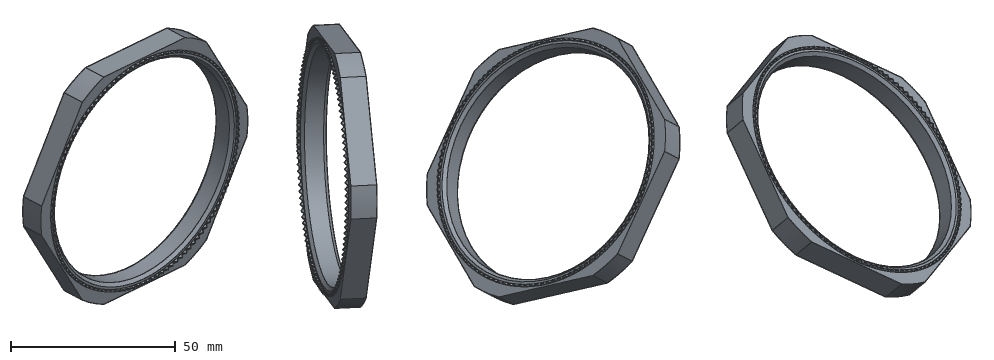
import cadquery as cq
import math

across_flats = 80.0
corner_diameter = 87.0
body_thickness = 8.0

bore_diameter = 73.6
chamfer_diameter = 75.7
chamfer_depth = (chamfer_diameter - bore_diameter) / 2

tooth_count = 120
tooth_height = 1.0
tooth_angle = 90.0
tooth_circle_diameter = 78.0
tooth_root_width = 0.8
tooth_tip_width = 0.2


def cylinder(diameter, length):
    """Solid cylinder on the X axis, starting at the plain face."""
    return cq.Workplane("YZ").circle(diameter / 2).extrude(length)


def make_body():
    """Hexagon with flats facing +Z and -Z and its corners turned round."""
    across_corners = across_flats / math.cos(math.pi / 6)
    hexagon = cq.Workplane("YZ").polygon(6, across_corners).extrude(body_thickness)
    return hexagon.intersect(cylinder(corner_diameter, body_thickness))


def make_chamfer_cone(start, direction):
    """Cone that widens the bore at one face and narrows into the body."""
    return cq.Solid.makeCone(
        chamfer_diameter / 2,
        bore_diameter / 2,
        chamfer_depth,
        cq.Vector(start, 0, 0),
        cq.Vector(direction, 0, 0),
    )


def make_bore():
    """Through bore together with the chamfer cones of both faces."""
    hole = cylinder(bore_diameter, body_thickness)
    plain_end = make_chamfer_cone(0, 1)
    toothed_end = make_chamfer_cone(body_thickness, -1)
    return hole.union(plain_end).union(toothed_end)


def make_tooth_ring():
    """Ring of trapezoidal section that bounds the teeth inside and outside."""
    middle = tooth_circle_diameter / 2
    half_root = tooth_root_width / 2
    half_tip = tooth_tip_width / 2
    tip = body_thickness + tooth_height
    return (
        cq.Workplane("XY")
        .polyline([
            (body_thickness, middle - half_root),
            (body_thickness, middle + half_root),
            (tip, middle + half_tip),
            (tip, middle - half_tip),
        ])
        .close()
        .revolve(360, (0, 0, 0), (1, 0, 0))
    )


def make_teeth():
    """Evenly spaced teeth, each a radial triangular ridge trimmed to the ring."""
    half_width = tooth_height * math.tan(math.radians(tooth_angle / 2))
    tip = body_thickness + tooth_height
    ridge = (
        cq.Workplane("XY")
        .polyline([(body_thickness, -half_width), (tip, 0), (body_thickness, half_width)])
        .close()
        .extrude(corner_diameter / 2)
    )
    tooth = ridge.intersect(make_tooth_ring()).val()
    pitch = 360 / tooth_count
    return [
        tooth.rotate((0, 0, 0), (1, 0, 0), (index + 0.5) * pitch)
        for index in range(tooth_count)
    ]


nut = make_body().cut(make_bore())
result = cq.Workplane(nut.val().fuse(*make_teeth())).solids()